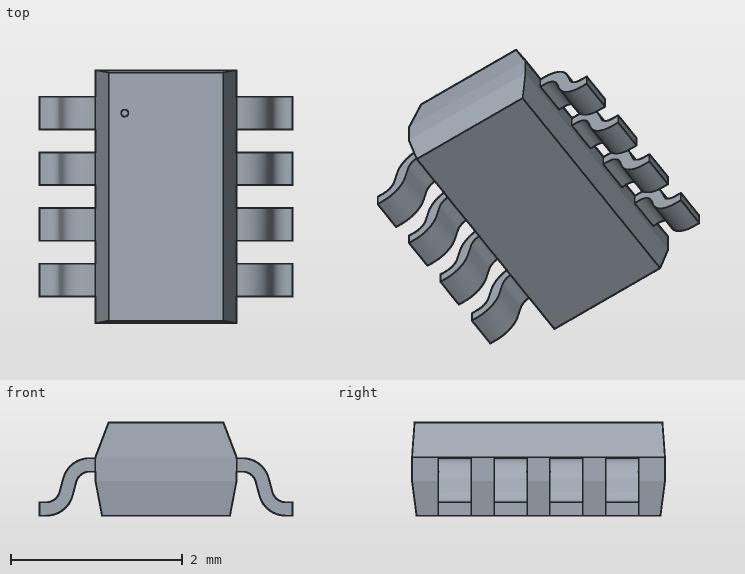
import cadquery as cq
import math

HOUSING_WIDTH = 1.645
HOUSING_LENGTH = 2.95
HOUSING_HEIGHT = 1.09
TAPER_HEIGHT = 0.405
BAND_HEIGHT = HOUSING_HEIGHT - 2 * TAPER_HEIGHT
TOP_INSET_X = 0.153
TOP_INSET_Y = 0.03
BOTTOM_INSET_X = 0.077
BOTTOM_INSET_Y = 0.053

LEADS_PER_SIDE = 4
LEAD_PITCH = 0.65
LEAD_SPAN = 2.95
LEAD_WIDTH = 0.384
LEAD_THICKNESS = 0.16
LEAD_TOP = 0.673
SHOULDER_LENGTH = 0.068
INNER_RADIUS = 0.16
OUTER_RADIUS = INNER_RADIUS + LEAD_THICKNESS
BEND_ANGLE = math.radians(75)

BEND_RUN = math.sin(BEND_ANGLE)
BEND_DROP = 1 - math.cos(BEND_ANGLE)

LEAD_DROP = LEAD_TOP - LEAD_THICKNESS
SLOPE_DROP = LEAD_DROP - (OUTER_RADIUS + INNER_RADIUS) * BEND_DROP
SLOPE_RUN = SLOPE_DROP / math.tan(BEND_ANGLE)

FOOT_LENGTH = (
    (LEAD_SPAN - HOUSING_WIDTH) / 2
    - SHOULDER_LENGTH
    - (OUTER_RADIUS + INNER_RADIUS) * BEND_RUN
    - SLOPE_RUN
)

MARKER_DIAMETER = 0.083
MARKER_DEPTH = 0.03
MARKER_X = -0.48
MARKER_Y = (LEADS_PER_SIDE - 1) / 2 * LEAD_PITCH


def make_tapered_half(start_z, end_z, inset_x, inset_y):
    """Loft from the full band outline at start_z to the inset outline at end_z."""
    return (
        cq.Workplane("XY")
        .workplane(offset=start_z)
        .rect(HOUSING_WIDTH, HOUSING_LENGTH)
        .workplane(offset=end_z - start_z)
        .rect(HOUSING_WIDTH - 2 * inset_x, HOUSING_LENGTH - 2 * inset_y)
        .loft(ruled=True)
    )


def make_marker():
    """Pin 1 disc, its upper face level with the housing top."""
    return (
        cq.Workplane("XY")
        .workplane(offset=HOUSING_HEIGHT - MARKER_DEPTH)
        .center(MARKER_X, MARKER_Y)
        .circle(MARKER_DIAMETER / 2)
        .extrude(MARKER_DEPTH)
    )


def make_housing():
    """Band and both tapered halves, with a recess that fits the marker."""
    band_bottom = TAPER_HEIGHT
    band_top = TAPER_HEIGHT + BAND_HEIGHT
    band = (
        cq.Workplane("XY")
        .workplane(offset=band_bottom)
        .rect(HOUSING_WIDTH, HOUSING_LENGTH)
        .extrude(BAND_HEIGHT)
    )
    upper_half = make_tapered_half(band_top, HOUSING_HEIGHT, TOP_INSET_X, TOP_INSET_Y)
    lower_half = make_tapered_half(band_bottom, 0, BOTTOM_INSET_X, BOTTOM_INSET_Y)
    return band.union(upper_half).union(lower_half).cut(make_marker())


def make_lead(y):
    """Lead on the +X side, centred at y, from the housing wall out to its foot."""
    outer_bend = (OUTER_RADIUS * BEND_RUN, OUTER_RADIUS * BEND_DROP)
    inner_bend = (INNER_RADIUS * BEND_RUN, INNER_RADIUS * BEND_DROP)
    return (
        cq.Workplane("XZ", origin=(0, y, 0))
        .moveTo(HOUSING_WIDTH / 2, LEAD_TOP)
        .line(SHOULDER_LENGTH, 0)
        .tangentArcPoint((outer_bend[0], -outer_bend[1]))
        .line(SLOPE_RUN, -SLOPE_DROP)
        .tangentArcPoint((inner_bend[0], -inner_bend[1]))
        .line(FOOT_LENGTH, 0)
        .line(0, -LEAD_THICKNESS)
        .line(-FOOT_LENGTH, 0)
        .tangentArcPoint((-outer_bend[0], outer_bend[1]))
        .line(-SLOPE_RUN, SLOPE_DROP)
        .tangentArcPoint((-inner_bend[0], inner_bend[1]))
        .line(-SHOULDER_LENGTH, 0)
        .close()
        .extrude(LEAD_WIDTH / 2, both=True)
    )


housing = make_housing()
marker = make_marker()

leads = []
for index in range(LEADS_PER_SIDE):
    lead_y = (index - (LEADS_PER_SIDE - 1) / 2) * LEAD_PITCH
    right_lead = make_lead(lead_y)
    left_lead = right_lead.mirror("YZ")
    leads.append(right_lead.solids().val())
    leads.append(left_lead.solids().val())

result = cq.Compound.makeCompound([housing.solids().val(), marker.val(), *leads])